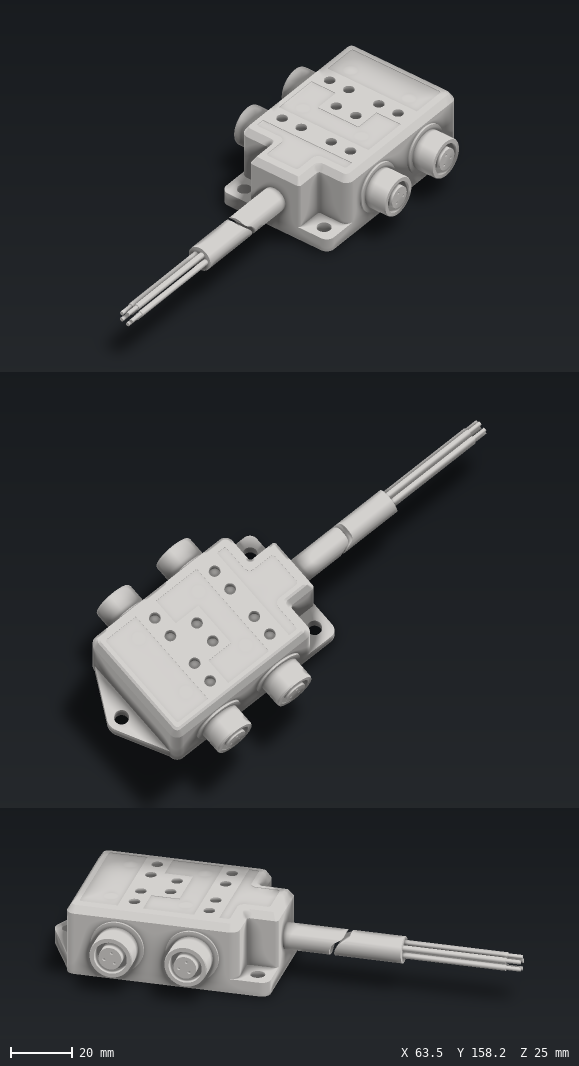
import cadquery as cq
import math


half_width = 22.3
back_y = 69.0
shoulder_y = 10.4
tongue_half_width = 10.3
housing_height = 25.0
wall_height = 22.0
bevel_height = 24.5
bevel_inset = 1.6
rim_inset = 2.4
corner_radius = 3.0
tongue_radius = 1.0
wall_radii = (corner_radius, tongue_radius, tongue_radius)
bevel_radii = (1.6, 2.0, 0.4)
rim_radii = (1.2, 2.4, 0.8)
window_radii = (0.8, 2.4, 1.0)

plate_thickness = 5.0
tip_y = 78.4
tip_hole_y = 73.6
tip_radius = tip_y - tip_hole_y
tip_half_base = half_width - corner_radius
mount_hole_diameter = 5.0
mount_hole_x = 16.5
mount_hole_y = 5.2

window_inset = 3.8
window_depth = 0.2
back_window_front_y = 52.2
middle_window_back_y = 43.6
middle_window_front_y = 26.3
window_notch_half_width = 8.4
window_notch_y = 34.0
front_window_back_y = 17.7
port_pitch = 25.4
first_port_y = 25.8
indicator_diameter = 5.0
indicator_x = 12.1
indicator_offset_y = 5.0
lamp_hole_diameter = 3.9
lamp_hole_depth = 3.0
lamp_hole_xs = (6.2, 14.15)
lamp_hole_offset_y = -3.5
centre_lamp_x = 4.05
centre_lamp_y = 38.2

axis_z = 12.0
flange_radius = 9.0
flange_x = 23.1
socket_root = 1.0
barrel_radius = 7.2
barrel_x = 31.3
barrel_lip_radius = 7.0
barrel_lip_length = 0.6
cavity_radius = 5.6
cavity_depth = 4.0
insert_radius = 3.9
insert_x = 31.75
contact_diameter = 1.0
contact_depth = 3.0
contact_circle_radius = 2.1
contact_count = 3
first_contact_angle = 105.0

cable_radius = 4.5
break_bottom_y = -15.3
break_middle_y = -17.9
break_middle_rise = 1.7
break_top_y = -20.5
break_gap = 1.8
jacket_end_y = -40.0
wire_end_y = -75.0
overall_length = 158.2
core_end_y = tip_y - overall_length
wire_count = 5
wire_circle_radius = 2.2
wire_circle_x = 0.35
wire_radius = 1.0
core_radius = 0.7
stub_root_y = 1.0
wire_root = 1.0


def housing_outline(inset, height, radii):
    """Closed outline of box and cable tongue, moved inwards by `inset`, at the given height."""
    corner, inner_corner, tongue_corner = radii
    side = half_width - inset
    tongue = tongue_half_width - inset
    corners = [
        (-tongue, inset, tongue_corner),
        (tongue, inset, tongue_corner),
        (tongue, shoulder_y + inset, inner_corner),
        (side, shoulder_y + inset, corner),
        (side, back_y - inset, corner),
        (-side, back_y - inset, corner),
        (-side, shoulder_y + inset, corner),
        (-tongue, shoulder_y + inset, inner_corner),
    ]
    mid_arc = 1 - math.sqrt(0.5)
    outline = None
    for index, (x, y, radius) in enumerate(corners):
        before = cq.Vector(*corners[index - 1][:2])
        after = cq.Vector(*corners[(index + 1) % len(corners)][:2])
        point = cq.Vector(x, y)
        back = (before - point).normalized() * radius
        forward = (after - point).normalized() * radius
        start = (point + back).toTuple()[:2]
        middle = (point + (back + forward) * mid_arc).toTuple()[:2]
        end = (point + forward).toTuple()[:2]
        if outline is None:
            outline = cq.Workplane("XY", origin=(0, 0, height)).moveTo(*start)
        else:
            outline = outline.lineTo(*start)
        outline = outline.threePointArc(middle, end)
    return outline.close()


def make_box():
    """Straight walls, a steep bevel and a flatter bevel up to the flat top."""
    box = housing_outline(0, 0, wall_radii).extrude(wall_height)
    sections = [
        housing_outline(0, wall_height, wall_radii),
        housing_outline(bevel_inset, bevel_height, bevel_radii),
        housing_outline(rim_inset, housing_height, rim_radii),
    ]
    wires = [section.val() for section in sections]
    for lower, upper in zip(wires, wires[1:]):
        box = box.union(cq.Workplane(cq.Solid.makeLoft([lower, upper], True)))
    return box


def make_plate():
    """Plate under the box: two front ears and a pointed lug at the back."""
    plate = (
        cq.Workplane("XY")
        .box(2 * half_width, back_y, plate_thickness, centered=(True, False, False))
        .edges("|Z")
        .fillet(corner_radius)
    )
    reach_x = tip_half_base
    reach_y = tip_hole_y - back_y
    side_angle = math.acos(tip_radius / math.hypot(reach_x, reach_y)) - math.atan2(reach_y, reach_x)
    tangent_x = tip_radius * math.cos(side_angle)
    tangent_y = tip_hole_y + tip_radius * math.sin(side_angle)
    root_y = back_y - corner_radius
    lug = (
        cq.Workplane("XY")
        .moveTo(-tip_half_base, root_y)
        .lineTo(tip_half_base, root_y)
        .lineTo(tip_half_base, back_y)
        .lineTo(tangent_x, tangent_y)
        .threePointArc((0, tip_y), (-tangent_x, tangent_y))
        .lineTo(-tip_half_base, back_y)
        .close()
        .extrude(plate_thickness)
    )
    return plate.union(lug)


def cut_mount_holes(body):
    holes = [(0, tip_hole_y), (-mount_hole_x, mount_hole_y), (mount_hole_x, mount_hole_y)]
    drills = cq.Workplane("XY").pushPoints(holes).circle(mount_hole_diameter / 2).extrude(plate_thickness)
    return body.cut(drills)


def y_band(half_x, front_y, rear_y):
    """Block over the top face between two Y positions."""
    return (
        cq.Workplane("XY", origin=(0, front_y, wall_height))
        .box(2 * half_x, rear_y - front_y, housing_height, centered=(True, False, False))
    )


def cut_label_windows(body):
    """Three shallow windows that share one inset border."""
    floor_z = housing_height - window_depth
    field = housing_outline(window_inset, floor_z, window_radii).extrude(window_depth)
    strips = y_band(half_width, back_window_front_y, back_y)
    strips = strips.union(y_band(half_width, middle_window_front_y, middle_window_back_y))
    strips = strips.union(y_band(half_width, 0, front_window_back_y))
    strips = strips.cut(y_band(window_notch_half_width, window_notch_y, middle_window_back_y))
    return body.cut(field.intersect(strips))


def add_indicators(body):
    """Flat domes in the label windows, rising to the top of the housing."""
    rim_radius = indicator_diameter / 2
    floor_z = housing_height - window_depth
    crown_radius = (rim_radius**2 + window_depth**2) / (2 * window_depth)
    dome = (
        cq.Workplane("XZ")
        .moveTo(0, wall_height)
        .lineTo(rim_radius, wall_height)
        .lineTo(rim_radius, floor_z)
        .radiusArc((0, housing_height), -crown_radius)
        .close()
        .revolve(360, (0, 0, 0), (0, 1, 0))
    )
    for row in range(2):
        y = first_port_y + row * port_pitch + indicator_offset_y
        for side in (-1, 1):
            body = body.union(dome.translate((side * indicator_x, y, 0)))
    return body


def cut_lamp_holes(body):
    holes = [(-centre_lamp_x, centre_lamp_y), (centre_lamp_x, centre_lamp_y)]
    for row in range(2):
        y = first_port_y + row * port_pitch + lamp_hole_offset_y
        for x in lamp_hole_xs:
            holes += [(-x, y), (x, y)]
    drills = (
        cq.Workplane("XY", origin=(0, 0, housing_height - lamp_hole_depth))
        .pushPoints(holes)
        .circle(lamp_hole_diameter / 2)
        .extrude(lamp_hole_depth)
    )
    return body.cut(drills)


def make_socket(y):
    """Socket on the +X side: flange, barrel with a stepped lip, annular cavity and contact insert."""
    root_x = half_width - socket_root
    profile = [
        (root_x, 0),
        (root_x, flange_radius),
        (flange_x, flange_radius),
        (flange_x, barrel_radius),
        (barrel_x - barrel_lip_length, barrel_radius),
        (barrel_x, barrel_lip_radius),
        (barrel_x, cavity_radius),
        (barrel_x - cavity_depth, cavity_radius),
        (barrel_x - cavity_depth, insert_radius),
        (insert_x, insert_radius),
        (insert_x, 0),
    ]
    socket = cq.Workplane("XY").polyline(profile).close().revolve(360, (0, 0, 0), (1, 0, 0))
    contacts = (
        cq.Workplane("YZ", origin=(insert_x - contact_depth, 0, 0))
        .polarArray(contact_circle_radius, first_contact_angle, 360, contact_count)
        .circle(contact_diameter / 2)
        .extrude(contact_depth)
    )
    return socket.cut(contacts).translate((0, y, axis_z))


def add_sockets(body):
    for row in range(2):
        socket = make_socket(first_port_y + row * port_pitch)
        body = body.union(socket).union(socket.mirror("YZ"))
    return body


def y_cylinder(radius, from_y, to_y, x=0.0, z=axis_z):
    return cq.Workplane("XZ", origin=(x, from_y, z)).circle(radius).extrude(from_y - to_y)


def break_side(shift, far_y):
    """Block between the S-shaped break, moved along the cable by `shift`, and the plane y = far_y."""
    bottom_z = axis_z - cable_radius
    top_z = axis_z + cable_radius
    path = [
        (break_bottom_y - shift, bottom_z),
        (break_middle_y - shift, axis_z + break_middle_rise),
        (break_top_y - shift, top_z),
    ]
    return (
        cq.Workplane("YZ")
        .moveTo(*path[0])
        .spline(path[1:], tangents=[(0, 1), (0, 1)], includeCurrent=True)
        .lineTo(far_y, top_z)
        .lineTo(far_y, bottom_z)
        .close()
        .extrude(cable_radius, both=True)
    )


def make_housing():
    body = make_box().union(make_plate())
    body = cut_mount_holes(body)
    body = cut_label_windows(body)
    body = add_indicators(body)
    body = cut_lamp_holes(body)
    body = add_sockets(body)
    stub = y_cylinder(cable_radius, stub_root_y, jacket_end_y).intersect(break_side(0, stub_root_y))
    return body.union(stub)


def make_cable_end():
    """Loose length of cable behind the break, with its stripped wires."""
    cable = y_cylinder(cable_radius, 0, jacket_end_y).intersect(break_side(break_gap, jacket_end_y))
    for index in range(wire_count):
        angle = 2 * math.pi * index / wire_count
        x = wire_circle_x + wire_circle_radius * math.cos(angle)
        z = axis_z + wire_circle_radius * math.sin(angle)
        cable = cable.union(y_cylinder(wire_radius, jacket_end_y + wire_root, wire_end_y, x, z))
        cable = cable.union(y_cylinder(core_radius, wire_end_y + wire_root, core_end_y, x, z))
    return cable


housing = make_housing()
cable_end = make_cable_end()
result = cq.Compound.makeCompound([housing.val(), cable_end.val()])